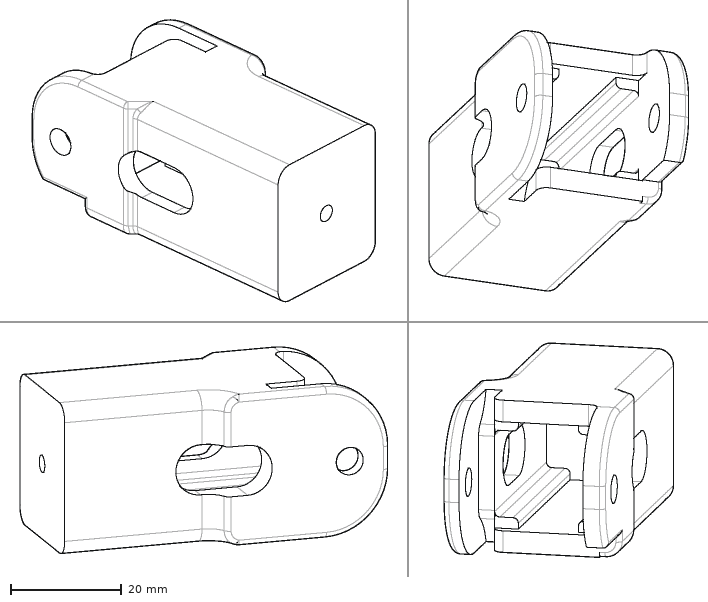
import cadquery as cq

length = 61.0
width = 30.0
height = 28.3
mid_z = height / 2
clearance = 0.6
tolerance = 0.05

wall = 4.0
cavity_front = wall
cavity_back = 24.0
cavity_mid_y = (cavity_front + cavity_back) / 2
cavity_end = length - wall
body_front = 1.3
body_back = 26.95
body_round = 3.0

cheek_tip_radius = 12.0
back_cheek_round = 1.15
front_cheek_round = 1.0
front_cheek_start = 0.35
front_notch_height = 4.2
front_pin_x = 8.0
front_pin_diameter = 5.2
back_pin_x = 7.55
back_pin_diameter = 5.1

front_shoulder_start = 24.2
front_shoulder_depth = 4.15
shoulder_overlap = 0.6
shoulder_round = 1.15
sweep_radius = 3.7
sweep_end = 34.8

lip_start = 13.6
lip_round = 2.0
back_wall_start = lip_start + lip_round
back_wall_round = 2.15
relief_radius = 10.1
relief_x = 12.1
relief_rise = 3.6

rail_width = 4.4
rail_height = 2.1
rail_round = 1.0

slot_start = 22.4
slot_end = 39.8
slot_height = 9.4
end_hole_diameter = 3.2


def block(x0, x1, y0, y1, z0=0.0, z1=height):
    """Box between two opposite corners."""
    return cq.Workplane("XY").box(x1 - x0, y1 - y0, z1 - z0, centered=False).translate((x0, y0, z0))


def nearest(x, y, z):
    """Selector for the edge whose middle is closest to a point."""
    return cq.selectors.NearestToPointSelector((x, y, z))


def y_cylinder(x, z, radius, y0, y1):
    """Solid cylinder whose axis is parallel to Y."""
    return cq.Workplane("XZ").center(x, z).circle(radius).extrude(y0 - y1).translate((0, y0, 0))


def tip_plate(x_start, y0, y1):
    """Full-length, full-height plate with both corners of its -X end rounded."""
    return block(x_start, length, y0, y1).edges("|Y and <X").fillet(cheek_tip_radius)


def back_half():
    """Back half: a cheek that sweeps in to the body along a concave arc."""
    sweep_start = sweep_end - sweep_radius
    flare = body_back + sweep_radius
    swept = (
        cq.Workplane("XY")
        .moveTo(0, cavity_mid_y)
        .lineTo(length, cavity_mid_y)
        .lineTo(length, body_back)
        .lineTo(sweep_end, body_back)
        .radiusArc((sweep_start, flare), sweep_radius)
        .lineTo(sweep_start, flare + body_round)
        .lineTo(0, flare + body_round)
        .close()
        .extrude(height)
    )
    for z in (0, height):
        swept = swept.edges(nearest((sweep_end + length) / 2, body_back, z)).fillet(body_round)
    cheek = tip_plate(0, cavity_mid_y, width)
    cheek = cheek.faces(">Y").edges("not >X").fillet(back_cheek_round)
    half = swept.intersect(cheek)
    return half.edges(nearest(sweep_start, width, mid_z)).fillet(shoulder_round)


def front_half():
    """Front half: a notched cheek that steps in to the body over a 45 degree shoulder."""
    notch = block(0, lip_start, 0, cavity_mid_y, 0, front_notch_height)
    body = block(lip_start - lip_round, length, body_front, cavity_mid_y)
    body = body.edges("|X and <Y").fillet(body_round)
    body = body.intersect(tip_plate(front_cheek_start, 0, cavity_mid_y)).cut(notch)
    corner = block(0, lip_start + front_cheek_round, 0, cavity_front, 0, front_notch_height)
    body = body.cut(corner)

    cheek_depth = body_front + body_round + shoulder_overlap
    cheek = (
        cq.Workplane("XY")
        .lineTo(front_shoulder_start, 0)
        .lineTo(front_shoulder_start + front_shoulder_depth, front_shoulder_depth)
        .lineTo(front_shoulder_start, cheek_depth)
        .lineTo(0, cheek_depth)
        .close()
        .extrude(height)
    )
    cheek = cheek.edges(nearest(front_shoulder_start, 0, mid_z)).fillet(shoulder_round)
    cheek = cheek.edges(nearest(front_shoulder_start / 2, 0, 0)).fillet(body_round)
    cheek = cheek.intersect(tip_plate(front_cheek_start, 0, cheek_depth)).cut(notch)
    cheek = cheek.faces("<Y").edges("not >X").fillet(front_cheek_round)

    half = body.union(cheek)
    shoulder_foot = nearest(front_shoulder_start + body_front, body_front, mid_z)
    return half.edges(shoulder_foot).fillet(shoulder_round)


def mouth():
    """Space between the cheeks, ahead of the top and bottom walls."""
    space = block(-clearance, lip_start, cavity_front, body_back)
    return space.edges("|Z and >X and <Y").fillet(lip_round)


def back_wall_relief():
    """Space ahead of the back wall, with an arc cut back at top and bottom."""
    relief = block(-clearance, back_wall_start, cavity_back, body_back)
    for z in (-relief_rise, height + relief_rise):
        relief = relief.union(y_cylinder(relief_x, z, relief_radius, cavity_back, body_back))
    corners = cq.selectors.BoxSelector(
        (back_wall_start - tolerance, cavity_back, wall),
        (back_wall_start + tolerance, body_back, height - wall),
    )
    return relief.edges(corners).edges("|Y").fillet(back_wall_round)


def cavity():
    """Square cavity, narrowed in its four corners by the guide rails."""
    room = block(-clearance, cavity_end, cavity_front, cavity_back, wall, height - wall)
    for y in (cavity_front, cavity_back - rail_width):
        for z in (wall, height - wall - rail_height):
            rail = block(back_wall_start, cavity_end, y, y + rail_width, z, z + rail_height)
            y_side = "<Y" if y > cavity_front else ">Y"
            z_side = ">Z" if z == wall else "<Z"
            rail = rail.edges(f"|X and {y_side} and {z_side}").fillet(rail_round)
            room = room.cut(rail)
    for y in (cavity_front, cavity_back):
        for z in (wall + rail_height, height - wall - rail_height):
            root = nearest((back_wall_start + cavity_end) / 2, y, z)
            room = room.edges(root).fillet(rail_round)
    return room


def side_slot():
    """Round-ended slot through both sides of the body."""
    return (
        cq.Workplane("XZ")
        .center((slot_start + slot_end) / 2, mid_z)
        .slot2D(slot_end - slot_start, slot_height)
        .extrude(-width)
    )


result = back_half().union(front_half()).clean()
result = result.cut(mouth()).cut(back_wall_relief()).cut(cavity())

for z in (wall / 2, height - wall / 2):
    result = result.edges(nearest(lip_start, cavity_back, z)).fillet(lip_round)

result = result.cut(side_slot())
result = result.cut(y_cylinder(front_pin_x, mid_z, front_pin_diameter / 2, 0, cavity_front))
result = result.cut(y_cylinder(back_pin_x, mid_z, back_pin_diameter / 2, body_back, width))
end_hole = cq.Workplane("YZ").center(cavity_mid_y, mid_z).circle(end_hole_diameter / 2).extrude(length)
result = result.cut(end_hole)